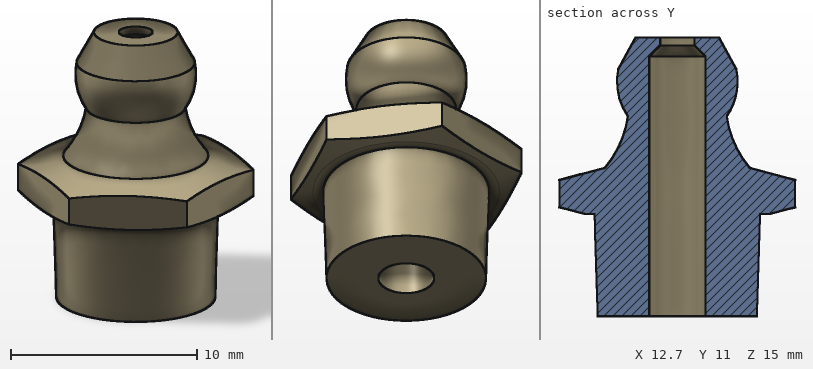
import cadquery as cq
import math

total_height = 15.0
nut_bottom_z = 5.5
nut_top_z = 8.0
neck_top_z = 10.75
ball_top_z = 13.29

across_flats = 11.0
across_corners = across_flats / math.cos(math.radians(30))
chamfer_slope = math.tan(math.radians(15))
nut_bottom_face_radius = 5.01

shank_end_radius = 4.29
shank_top_radius = shank_end_radius + nut_bottom_z / 16 / 2

neck_base_radius = 3.9
neck_mid_radius = 3.28
neck_mid_z = 8.9
ball_radius = 3.25
ball_center_z = 12.62
tip_radius = 2.25

mouth_radius = 1.82 / 2
mouth_depth = 0.44
bore_radius = 3.0 / 2


def ball_radius_at(z):
    """Radius of the ball's horizontal section at height z."""
    return math.sqrt(ball_radius**2 - (z - ball_center_z) ** 2)


def revolve_profile(profile):
    """Spin a closed XZ outline around the Z axis."""
    return profile.close().revolve(360, (0, 0, 0), (0, 1, 0))


def make_shank():
    return revolve_profile(
        cq.Workplane("XZ")
        .lineTo(shank_end_radius, 0)
        .lineTo(shank_top_radius, nut_bottom_z)
        .lineTo(0, nut_bottom_z)
    )


def make_nut():
    """Hexagon with conical chamfers above and below."""
    prism = (
        cq.Workplane("XY", origin=(0, 0, nut_bottom_z))
        .polygon(6, across_corners)
        .extrude(nut_top_z - nut_bottom_z)
    )
    outer_radius = across_corners / 2 + 0.15
    lower_rim_z = nut_bottom_z + (outer_radius - nut_bottom_face_radius) * chamfer_slope
    upper_rim_z = nut_top_z - (outer_radius - neck_base_radius) * chamfer_slope
    envelope = revolve_profile(
        cq.Workplane("XZ")
        .moveTo(0, nut_bottom_z)
        .lineTo(nut_bottom_face_radius, nut_bottom_z)
        .lineTo(outer_radius, lower_rim_z)
        .lineTo(outer_radius, upper_rim_z)
        .lineTo(neck_base_radius, nut_top_z)
        .lineTo(0, nut_top_z)
    )
    return prism.intersect(envelope)


def make_head():
    """Concave neck, ball and conical tip above the nut."""
    return revolve_profile(
        cq.Workplane("XZ")
        .moveTo(0, nut_top_z)
        .lineTo(neck_base_radius, nut_top_z)
        .threePointArc((neck_mid_radius, neck_mid_z), (ball_radius_at(neck_top_z), neck_top_z))
        .threePointArc((ball_radius, ball_center_z), (ball_radius_at(ball_top_z), ball_top_z))
        .lineTo(tip_radius, total_height)
        .lineTo(0, total_height)
    )


def make_passage():
    """Narrow mouth at the tip, opening through a 45 degree cone into the bore."""
    cone_top_z = total_height - mouth_depth
    cone_bottom_z = cone_top_z - (bore_radius - mouth_radius)
    return revolve_profile(
        cq.Workplane("XZ")
        .lineTo(bore_radius, 0)
        .lineTo(bore_radius, cone_bottom_z)
        .lineTo(mouth_radius, cone_top_z)
        .lineTo(mouth_radius, total_height)
        .lineTo(0, total_height)
    )


result = make_shank().union(make_nut()).union(make_head()).cut(make_passage())